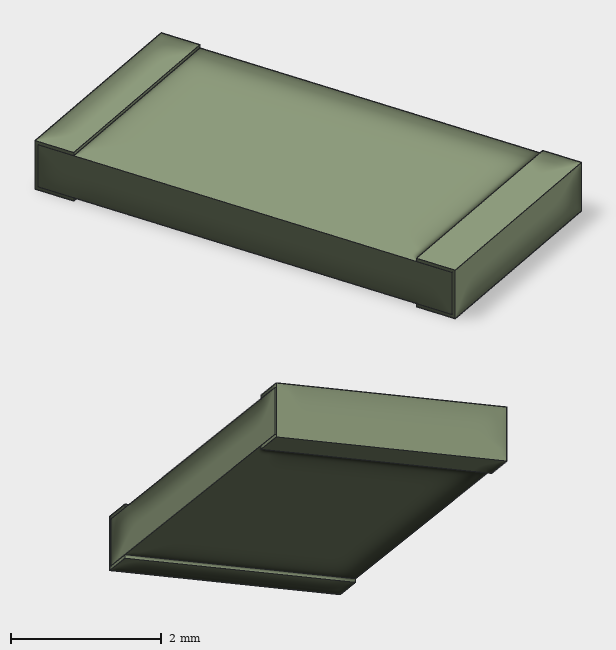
import cadquery as cq


length = 6.5
width = 3.25
height = 0.75

plating = 0.05
terminal_length = 0.6

body_length = length - 2 * plating
body_height = height - 2 * plating


def centered_box(size_x, size_z, center_x=0.0):
    """Full-width box resting symmetrically about the mid-height plane."""
    return cq.Workplane("XY").box(size_x, width, size_z).translate((center_x, 0, height / 2))


def make_ceramic_body():
    return centered_box(body_length, body_height)


def make_terminal(side):
    """C-shaped end cap; side is -1 for the -X end and +1 for the +X end."""
    block = centered_box(terminal_length, height, side * (length - terminal_length) / 2)
    return block.cut(make_ceramic_body())


ceramic_body = make_ceramic_body()
terminals = [make_terminal(side) for side in (-1, 1)]

result = cq.Compound.makeCompound(
    [ceramic_body.val(), *[terminal.val() for terminal in terminals]]
)